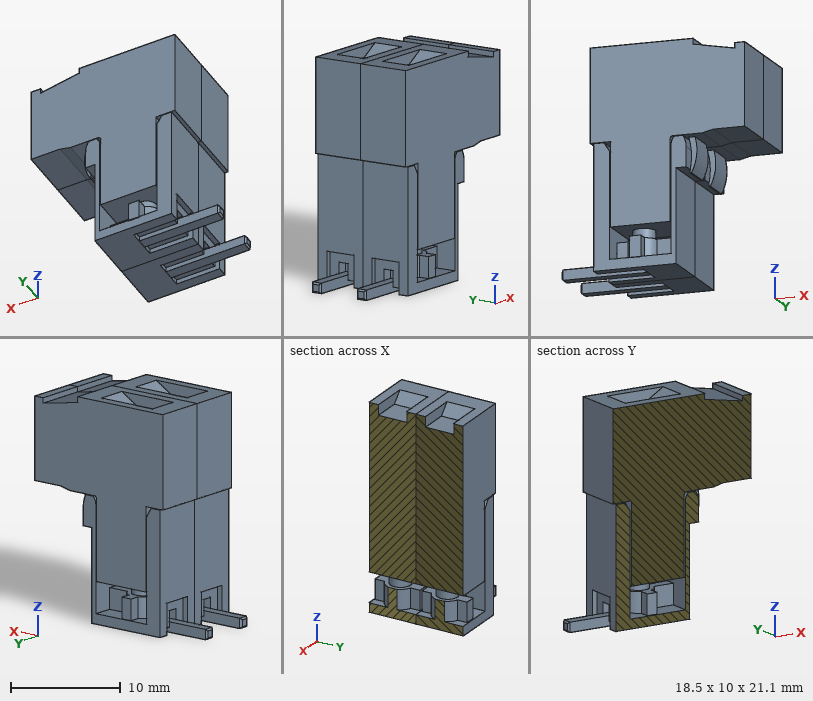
import cadquery as cq
import math


POLE_COUNT = 2
PITCH = 5.0
FIRST_POLE_Y = -PITCH * (POLE_COUNT - 1) / 2

HEADER_LENGTH = 8.0
HEADER_TOP = 12.03
PIN_SIZE = 1.0
FLOOR_TOP = PIN_SIZE
REAR_WALL = 1.55
CAVITY_FRONT = 7.5
LEAD_IN_LENGTH = 0.53
LEAD_IN_HEIGHT = 0.85
LIP_RADIUS = 1.2
LIP_HEIGHT = 0.8
HOOK_FRONT = 8.97
HOOK_BOTTOM = 9.03
HOOK_CURVE_HEIGHT = 1.1
HOOK_RADIUS = 2.0

PIN_X = 3.99
RIB_TOP = 3.04
WEB_THICKNESS = 1.0
BOSS_RADIUS = 1.5
KEY_LENGTH = 1.08
KEY_SETBACK = 0.1
WINDOW_WIDTH = 3.0
WINDOW_DEPTH = 0.5
STANDOFF = 0.49
SLOT_HEIGHT = 2.05

PIN_TIP_X = -3.86
TAIL_END = PIN_X + PIN_SIZE / 2
PIN_CHAMFER = 0.17
POST_RADIUS = 2.13 / 2
POST_TOP = 8.02

PLUG_REAR = -0.34
PLUG_FRONT = 14.65
PLUG_TOP = 21.1
HEAD_BOTTOM = 12.1
STEM_REAR = 1.65
STEM_FRONT = 7.4
STEM_BOTTOM = 4.03
STEM_FILLET = 0.27
RAMP_REAR = 9.62
RAMP_HIGH = 20.55
RAMP_LOW = 19.81
FRONT_LIP_LENGTH = 1.0
FRONT_LIP_TOP = 20.32
NOSE_BOTTOM = 12.35
NOSE_SLOPE_REAR = 10.53
NOSE_SLOPE_FRONT = 11.6

POCKET_REAR = 1.65
POCKET_FRONT = 7.64
POCKET_FLOOR_REAR = 2.64
POCKET_FLOOR_FRONT = 5.93
POCKET_WIDTH = 2.95
POCKET_DEPTH = 1.05

LATCH_INNER_TOP = (8.85, HEAD_BOTTOM)
LATCH_INNER_MIDDLE = (9.12, 10.34)
LATCH_INNER_END = (8.97, 8.93)
LATCH_TIP_BOTTOM = 8.71
LATCH_OUTER_END = (9.12, LATCH_TIP_BOTTOM)
LATCH_OUTER_MIDDLE = (9.65, 10.76)
LATCH_OUTER_TOP = (9.45, HEAD_BOTTOM)
LATCH_WIDTH = 3.0


def extrude_across(profile, y_center, width):
    """Turn a closed XZ profile drawn around the origin into a prism centred on y_center."""
    return profile.extrude(width / 2, both=True).translate((0, y_center, 0))


def box_between(x_range, z_range, y_center, width):
    """A box given by its X and Z limits, centred on y_center."""
    length = x_range[1] - x_range[0]
    height = z_range[1] - z_range[0]
    box = cq.Workplane("XY").box(length, width, height, centered=(False, True, False))
    return box.translate((x_range[0], y_center, z_range[0]))


def post_cylinder(radius, bottom, top, y_center):
    """An upright cylinder on the pin axis of a pole."""
    cylinder = cq.Workplane("XY").circle(radius).extrude(top - bottom)
    return cylinder.translate((PIN_X, y_center, bottom))


def arc_setback(radius, height):
    """How far an arc that starts tangent to an upright face moves away from it over a height."""
    return radius - math.sqrt(radius**2 - height**2)


def header_frame(y_center):
    """U-shaped frame with a lead-in at the rear wall and a hook at the front wall."""
    lip_start_z = HEADER_TOP - LIP_HEIGHT
    lip_setback = arc_setback(LIP_RADIUS, LIP_HEIGHT)
    hook_curve_z = HEADER_TOP - HOOK_CURVE_HEIGHT
    hook_setback = arc_setback(HOOK_RADIUS, HOOK_CURVE_HEIGHT)
    profile = (
        cq.Workplane("XZ")
        .moveTo(0, 0)
        .lineTo(HEADER_LENGTH, 0)
        .lineTo(HEADER_LENGTH, HOOK_BOTTOM)
        .lineTo(HOOK_FRONT, HOOK_BOTTOM)
        .lineTo(HOOK_FRONT, hook_curve_z)
        .radiusArc((HOOK_FRONT - hook_setback, HEADER_TOP), -HOOK_RADIUS)
        .lineTo(CAVITY_FRONT + lip_setback, HEADER_TOP)
        .radiusArc((CAVITY_FRONT, lip_start_z), -LIP_RADIUS)
        .lineTo(CAVITY_FRONT, FLOOR_TOP)
        .lineTo(REAR_WALL, FLOOR_TOP)
        .lineTo(REAR_WALL, HEADER_TOP - LEAD_IN_HEIGHT)
        .lineTo(REAR_WALL - LEAD_IN_LENGTH, HEADER_TOP)
        .lineTo(0, HEADER_TOP)
        .close()
    )
    return extrude_across(profile, y_center, PITCH)


def make_header(y_center):
    header = header_frame(y_center)

    rib_heights = (FLOOR_TOP, RIB_TOP)
    web = box_between((REAR_WALL, CAVITY_FRONT), rib_heights, y_center, WEB_THICKNESS)
    key_ends = (PIN_X - KEY_LENGTH / 2, PIN_X + KEY_LENGTH / 2)
    key = box_between(key_ends, rib_heights, y_center, PITCH - 2 * KEY_SETBACK)
    boss = post_cylinder(BOSS_RADIUS, FLOOR_TOP, RIB_TOP, y_center)
    header = header.union(web).union(key).union(boss)

    window = box_between((0, WINDOW_DEPTH), (0, RIB_TOP), y_center, WINDOW_WIDTH)
    channel = box_between((0, TAIL_END), (0, STANDOFF), y_center, WINDOW_WIDTH)
    slot = box_between((0, REAR_WALL), (0, SLOT_HEIGHT), y_center, PIN_SIZE)
    tail_seat = box_between((0, TAIL_END), (0, PIN_SIZE), y_center, PIN_SIZE)
    post_hole = post_cylinder(POST_RADIUS, FLOOR_TOP, RIB_TOP, y_center)
    return header.cut(window).cut(channel).cut(slot).cut(tail_seat).cut(post_hole)


def make_pin(y_center):
    tail = box_between((PIN_TIP_X, TAIL_END), (0, PIN_SIZE), y_center, PIN_SIZE)
    tail = tail.faces("<X").chamfer(PIN_CHAMFER)
    return tail.union(post_cylinder(POST_RADIUS, PIN_SIZE, POST_TOP, y_center))


def plug_body(y_center):
    """Head and stem of the plug as one prism."""
    lip_rear = PLUG_FRONT - FRONT_LIP_LENGTH
    profile = (
        cq.Workplane("XZ")
        .moveTo(STEM_REAR, STEM_BOTTOM)
        .lineTo(STEM_FRONT, STEM_BOTTOM)
        .lineTo(STEM_FRONT, HEAD_BOTTOM - STEM_FILLET)
        .radiusArc((STEM_FRONT + STEM_FILLET, HEAD_BOTTOM), STEM_FILLET)
        .lineTo(NOSE_SLOPE_REAR, HEAD_BOTTOM)
        .lineTo(NOSE_SLOPE_FRONT, NOSE_BOTTOM)
        .lineTo(PLUG_FRONT, NOSE_BOTTOM)
        .lineTo(PLUG_FRONT, FRONT_LIP_TOP)
        .lineTo(lip_rear, FRONT_LIP_TOP)
        .lineTo(lip_rear, RAMP_LOW)
        .lineTo(RAMP_REAR, RAMP_HIGH)
        .lineTo(RAMP_REAR, PLUG_TOP)
        .lineTo(PLUG_REAR, PLUG_TOP)
        .lineTo(PLUG_REAR, HEAD_BOTTOM)
        .lineTo(STEM_REAR, HEAD_BOTTOM)
        .close()
    )
    return extrude_across(profile, y_center, PITCH)


def plug_latch(y_center):
    """Curved tongue that hangs from the head in front of the header hook."""
    profile = (
        cq.Workplane("XZ")
        .moveTo(*LATCH_INNER_TOP)
        .threePointArc(LATCH_INNER_MIDDLE, LATCH_INNER_END)
        .lineTo(LATCH_INNER_END[0], LATCH_TIP_BOTTOM)
        .lineTo(*LATCH_OUTER_END)
        .threePointArc(LATCH_OUTER_MIDDLE, LATCH_OUTER_TOP)
        .close()
    )
    return extrude_across(profile, y_center, LATCH_WIDTH)


def plug_pocket(y_center):
    """Screwdriver pocket with a sloped face at each end of a flat floor."""
    profile = cq.Workplane("XZ").polyline(
        [
            (POCKET_REAR, PLUG_TOP),
            (POCKET_FLOOR_REAR, PLUG_TOP - POCKET_DEPTH),
            (POCKET_FLOOR_FRONT, PLUG_TOP - POCKET_DEPTH),
            (POCKET_FRONT, PLUG_TOP),
        ]
    )
    return extrude_across(profile.close(), y_center, POCKET_WIDTH)


def make_plug(y_center):
    post_hole = post_cylinder(POST_RADIUS, STEM_BOTTOM, POST_TOP, y_center)
    plug = plug_body(y_center).union(plug_latch(y_center))
    return plug.cut(plug_pocket(y_center)).cut(post_hole)


pole_centers = [FIRST_POLE_Y + PITCH * index for index in range(POLE_COUNT)]
headers = [make_header(y).val() for y in pole_centers]
pins = [make_pin(y).val() for y in pole_centers]
plugs = [make_plug(y).val() for y in pole_centers]

result = cq.Compound.makeCompound([*headers, *pins, *plugs])